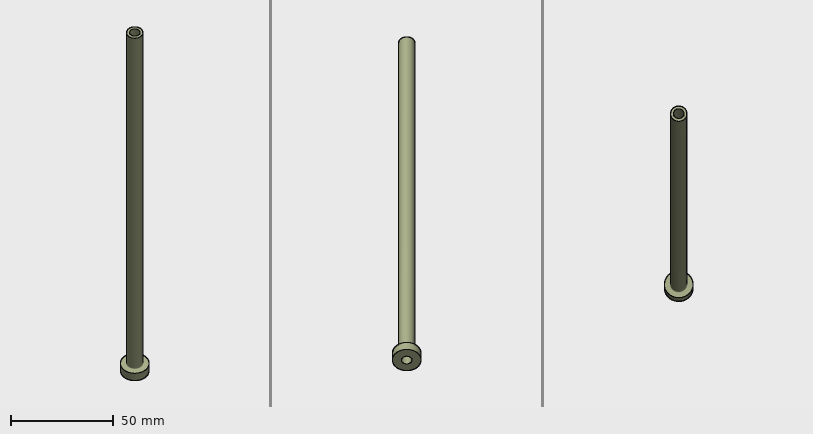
import cadquery as cq

total_length = 230.0
head_diameter = 14.0
head_height = 5.0
shaft_diameter = 8.0
bore_diameter = 5.0
root_fillet_radius = 0.5

shaft_radius = shaft_diameter / 2
head_radius = head_diameter / 2
fillet_outer_radius = shaft_radius + root_fillet_radius
fillet_top = head_height + root_fillet_radius

body = (
    cq.Workplane("XZ")
    .lineTo(head_radius, 0)
    .lineTo(head_radius, head_height)
    .lineTo(fillet_outer_radius, head_height)
    .radiusArc((shaft_radius, fillet_top), root_fillet_radius)
    .lineTo(shaft_radius, total_length)
    .lineTo(0, total_length)
    .close()
    .revolve(360, (0, 0, 0), (0, 1, 0))
)

bore = cq.Workplane("XY").circle(bore_diameter / 2).extrude(total_length)

result = body.cut(bore)